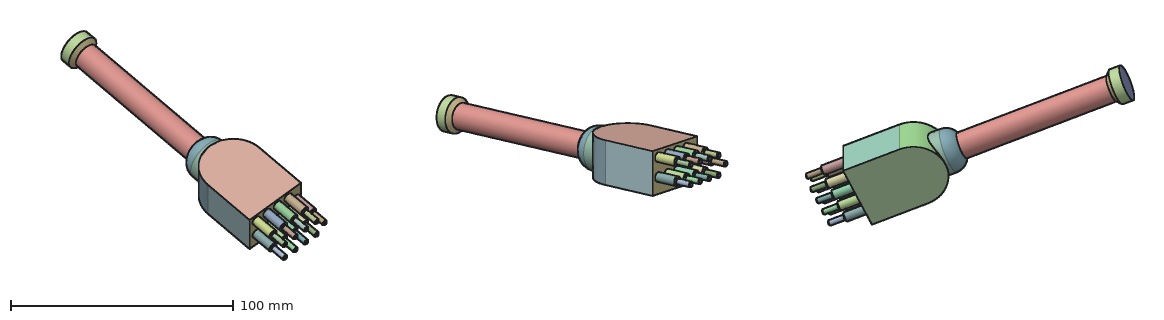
import cadquery as cq

total_length = 152.5

body_width = 31.5
body_height = 21.0
body_end_x = 133.0
nose_radius = body_width / 2
nose_tip_x = 89.5

cable_radius = 12.5 / 2
cap_radius = 17.0 / 2
cap_length = 5.2
cap_taper_length = cap_radius - cable_radius

boot_radius = body_height / 2
boot_shoulder_x = 88.0
dome_radius = 7.3

sleeve_radius = 4.5 / 2
sleeve_end_x = 144.7
sleeve_chamfer = 0.6
contact_radius = 2.7 / 2
contact_chamfer = 0.5

pins_per_row = 4
first_pin_y = -11.7
last_pin_y = 7.8
pin_pitch = (last_pin_y - first_pin_y) / (pins_per_row - 1)
row_heights = (6.9, -2.5)
locating_pin = (12.7, 1.8)


def make_body():
    """Block whose cable end is a full half-round."""
    nose_center_x = nose_tip_x + nose_radius
    return (
        cq.Workplane("XY")
        .workplane(offset=-body_height / 2)
        .moveTo(body_end_x, -body_width / 2)
        .lineTo(body_end_x, body_width / 2)
        .lineTo(nose_center_x, body_width / 2)
        .threePointArc((nose_tip_x, 0), (nose_center_x, -body_width / 2))
        .close()
        .extrude(body_height)
    )


def make_cable():
    """End cap, taper, cable and domed boot turned about the X axis."""
    dome_center_r = boot_radius - dome_radius
    dome_rise = cable_radius - dome_center_r
    dome_start_x = boot_shoulder_x - (dome_radius**2 - dome_rise**2) ** 0.5
    half_diagonal = dome_radius * 0.5**0.5
    dome_middle = (boot_shoulder_x - half_diagonal, dome_center_r + half_diagonal)
    boot_end_x = nose_tip_x + nose_radius

    return (
        cq.Workplane("XY")
        .moveTo(0, 0)
        .lineTo(0, cap_radius)
        .lineTo(cap_length, cap_radius)
        .lineTo(cap_length + cap_taper_length, cable_radius)
        .lineTo(dome_start_x, cable_radius)
        .threePointArc(dome_middle, (boot_shoulder_x, boot_radius))
        .lineTo(boot_end_x, boot_radius)
        .lineTo(boot_end_x, 0)
        .close()
        .revolve(360, (0, 0, 0), (1, 0, 0))
    )


def make_pin(y, z):
    """Sleeve and contact along X, each with a chamfered free end."""
    base = cq.Workplane("YZ", origin=(body_end_x, y, z))
    sleeve = base.circle(sleeve_radius).extrude(sleeve_end_x - body_end_x)
    sleeve = sleeve.faces(">X").chamfer(sleeve_chamfer)
    contact = base.circle(contact_radius).extrude(total_length - body_end_x)
    contact = contact.faces(">X").chamfer(contact_chamfer)
    return sleeve.union(contact)


pin_positions = [(first_pin_y + i * pin_pitch, z) for z in row_heights for i in range(pins_per_row)]
pin_positions.append(locating_pin)

result = make_body().union(make_cable())
for pin_y, pin_z in pin_positions:
    result = result.union(make_pin(pin_y, pin_z))